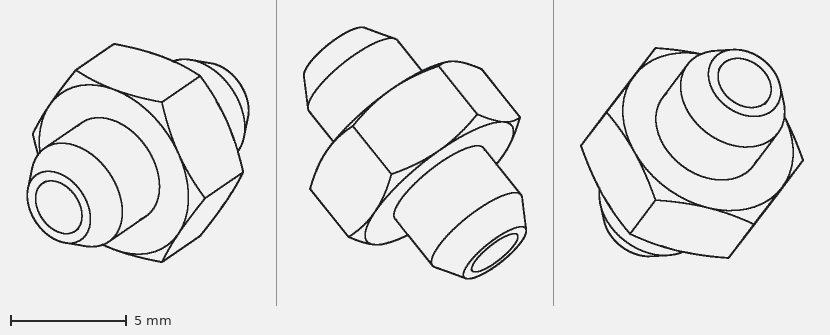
import cadquery as cq
import math

length = 11.5
tube_diameter = 4.9
bore_diameter = 2.5
taper_length = 1.3
hex_across_flats = 8.0
hex_width = 3.5
cone_angle = math.radians(30)

half_length = length / 2
tube_radius = tube_diameter / 2
tip_radius = tube_radius - taper_length * math.tan(cone_angle)
half_hex_width = hex_width / 2
flat_radius = hex_across_flats / 2
corner_radius = flat_radius / math.cos(math.pi / 6)
chamfer_depth = (corner_radius - flat_radius) * math.tan(cone_angle)


def revolve_about_y(points):
    """Revolve a closed (radius, y) outline around the Y axis."""
    return cq.Workplane("XY").polyline(points).close().revolve(360, (0, 0, 0), (0, 1, 0))


def make_tube():
    """Solid cylinder tapered at both ends."""
    taper_start = half_length - taper_length
    return revolve_about_y([
        (0, -half_length),
        (tip_radius, -half_length),
        (tube_radius, -taper_start),
        (tube_radius, taper_start),
        (tip_radius, half_length),
        (0, half_length),
    ])


def make_hexagon():
    """Hexagon with corners on X, its corners chamfered by a cone at each face."""
    prism = (
        cq.Workplane("XZ")
        .polygon(6, 2 * corner_radius)
        .extrude(half_hex_width, both=True)
    )
    chamfer_start = half_hex_width - chamfer_depth
    envelope = revolve_about_y([
        (0, -half_hex_width),
        (flat_radius, -half_hex_width),
        (corner_radius, -chamfer_start),
        (corner_radius, chamfer_start),
        (flat_radius, half_hex_width),
        (0, half_hex_width),
    ])
    return prism.intersect(envelope)


bore = cq.Workplane("XZ").circle(bore_diameter / 2).extrude(half_length, both=True)

result = make_tube().union(make_hexagon()).cut(bore)